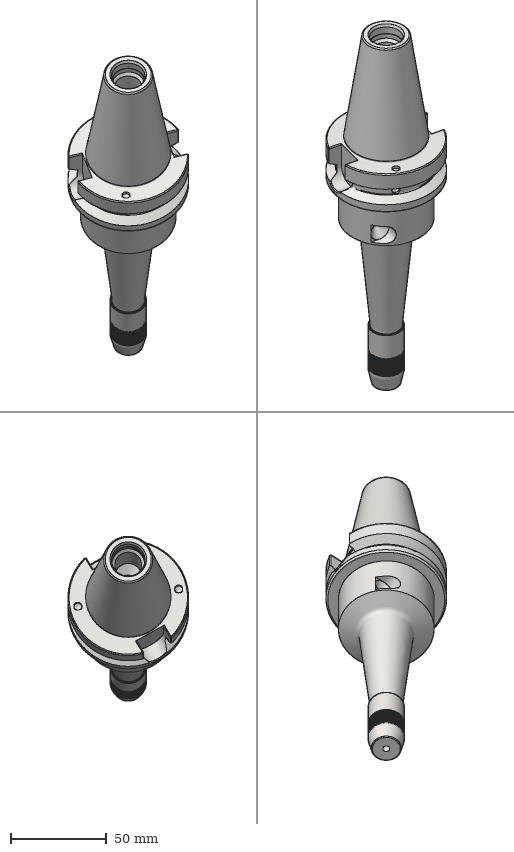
import cadquery as cq
import math

TAPER_RATIO = 7 / 24
GAUGE_DIAMETER = 44.45
TAPER_LENGTH = 65.4
TAPER_EDGE_CHAMFER = 0.7
NECK_DEPTH = 0.5
NECK_TOP_Z = -0.2
NECK_FILLET = 0.6

FLANGE_RADIUS = 31.5
FLANGE_TOP_Z = -2.0
FLANGE_BOTTOM_Z = -27.0
FLANGE_EDGE_CHAMFER = 1.0
FLANGE_TOP_CHAMFER = 0.6
GROOVE_CENTER_Z = -16.65
GROOVE_FLOOR_RADIUS = 26.45
GROOVE_FLOOR_WIDTH = 4.2
GROOVE_FILLET = 0.5
GROOVE_FLANK_ANGLE = math.radians(30)

BODY_RADIUS = 25.0
BODY_BOTTOM_Z = -53.0
SHANK_TOP_RADIUS = 14.4
SHANK_TOP_Z = -57.0
SHANK_TOP_FILLET = 3.2
SHANK_END_RADIUS = 8.6
SHANK_END_Z = -121.0
NOSE_RADIUS = 9.5
NOSE_TOP_Z = -122.4
NOSE_TOP_CHAMFER = 0.4
NOSE_TAPER_Z = -151.4
NOSE_END_RADIUS = 7.8
NOSE_END_Z = -160.0
NOSE_EDGE_CHAMFER = 0.5

RING_GROOVE_COUNT = 8
RING_GROOVE_FIRST_Z = -138.1
RING_GROOVE_PITCH = 1.45
RING_GROOVE_WIDTH = 1.1
RING_GROOVE_DEPTH = 0.6

MOUTH_CHAMFER_RADIUS = 9.5
MOUTH_CHAMFER_DEPTH = 1.5
MOUTH_RADIUS = 8.7
MOUTH_DEPTH = 5.7
MIDDLE_RADIUS = 8.5
MIDDLE_DEPTH = 8.6
INNER_RADIUS = 7.0
INNER_START_DEPTH = 10.1
INNER_DEPTH = 30.0
DRILL_POINT_ANGLE = math.radians(118)
THROUGH_HOLE_RADIUS = 1.8

SLOT_WIDTH = 16.1
SLOT_FLOOR_Y = 22.5
SLOT_BOTTOM_Z = -23.4
SLOT_EDGE_CHAMFER = 0.6

COOLANT_HOLE_RADIUS = 2.1
COOLANT_CIRCLE_RADIUS = 26.7
COOLANT_HOLE_ANGLES = (160, 340)
COOLANT_HOLE_DEPTH = 1.5

POCKET_POINT_ANGLE = math.radians(90)
POCKET_DIAMETER = 11.0
POCKET_FLOOR_X = -16.25
POCKET_Y = 13.6
POCKET_Z = -46.1


def taper_radius(z):
    """Radius of the steep taper at height z."""
    return (GAUGE_DIAMETER - TAPER_RATIO * z) / 2


def tapered_stem():
    """Steep taper with its bevelled small end, down to the neck above the flange."""
    neck_radius = taper_radius(NECK_TOP_Z) - NECK_DEPTH
    bevel_z = TAPER_LENGTH - TAPER_EDGE_CHAMFER
    profile = (
        cq.Workplane("XZ")
        .moveTo(0, TAPER_LENGTH)
        .lineTo(taper_radius(TAPER_LENGTH) - TAPER_EDGE_CHAMFER, TAPER_LENGTH)
        .lineTo(taper_radius(bevel_z), bevel_z)
        .lineTo(taper_radius(NECK_TOP_Z), NECK_TOP_Z)
        .lineTo(neck_radius, NECK_TOP_Z - NECK_DEPTH)
        .lineTo(neck_radius, FLANGE_TOP_Z + NECK_FILLET)
        .radiusArc((neck_radius + NECK_FILLET, FLANGE_TOP_Z), -NECK_FILLET)
        .lineTo(0, FLANGE_TOP_Z)
        .close()
    )
    return profile.revolve(360, (0, 0, 0), (0, 1, 0))


def groove_flank_height():
    """Rise of a groove flank from the floor to the flange rim."""
    return (FLANGE_RADIUS - GROOVE_FLOOR_RADIUS) * math.tan(GROOVE_FLANK_ANGLE)


def plain_flange():
    """Flange with its gripper groove, before the drive slots are cut."""
    flank_height = groove_flank_height()
    floor_top_z = GROOVE_CENTER_Z + GROOVE_FLOOR_WIDTH / 2
    floor_bottom_z = GROOVE_CENTER_Z - GROOVE_FLOOR_WIDTH / 2
    tangent = GROOVE_FILLET * math.tan((math.pi / 2 - GROOVE_FLANK_ANGLE) / 2)
    fillet_out = GROOVE_FLOOR_RADIUS + tangent * math.cos(GROOVE_FLANK_ANGLE)
    fillet_rise = tangent * math.sin(GROOVE_FLANK_ANGLE)
    profile = (
        cq.Workplane("XZ")
        .moveTo(0, FLANGE_TOP_Z)
        .lineTo(FLANGE_RADIUS - FLANGE_TOP_CHAMFER, FLANGE_TOP_Z)
        .lineTo(FLANGE_RADIUS, FLANGE_TOP_Z - FLANGE_TOP_CHAMFER)
        .lineTo(FLANGE_RADIUS, floor_top_z + flank_height)
        .lineTo(fillet_out, floor_top_z + fillet_rise)
        .radiusArc((GROOVE_FLOOR_RADIUS, floor_top_z - tangent), -GROOVE_FILLET)
        .lineTo(GROOVE_FLOOR_RADIUS, floor_bottom_z + tangent)
        .radiusArc((fillet_out, floor_bottom_z - fillet_rise), -GROOVE_FILLET)
        .lineTo(FLANGE_RADIUS, floor_bottom_z - flank_height)
        .lineTo(FLANGE_RADIUS, FLANGE_BOTTOM_Z + FLANGE_EDGE_CHAMFER)
        .lineTo(FLANGE_RADIUS - FLANGE_EDGE_CHAMFER, FLANGE_BOTTOM_Z)
        .lineTo(0, FLANGE_BOTTOM_Z)
        .close()
    )
    return profile.revolve(360, (0, 0, 0), (0, 1, 0))


def body_and_nose():
    """Body, shank and nose below the flange, without the ring grooves."""
    cone_angle = math.atan2(BODY_BOTTOM_Z - SHANK_TOP_Z, BODY_RADIUS - SHANK_TOP_RADIUS)
    shank_angle = math.atan2(SHANK_END_Z - SHANK_TOP_Z, SHANK_END_RADIUS - SHANK_TOP_RADIUS)
    turn = math.pi - (cone_angle - shank_angle)
    tangent = SHANK_TOP_FILLET * math.tan(turn / 2)
    fillet_start = (
        SHANK_TOP_RADIUS + tangent * math.cos(cone_angle),
        SHANK_TOP_Z + tangent * math.sin(cone_angle),
    )
    fillet_end = (
        SHANK_TOP_RADIUS + tangent * math.cos(shank_angle),
        SHANK_TOP_Z + tangent * math.sin(shank_angle),
    )
    profile = (
        cq.Workplane("XZ")
        .moveTo(0, FLANGE_BOTTOM_Z)
        .lineTo(BODY_RADIUS, FLANGE_BOTTOM_Z)
        .lineTo(BODY_RADIUS, BODY_BOTTOM_Z)
        .lineTo(*fillet_start)
        .radiusArc(fillet_end, -SHANK_TOP_FILLET)
        .lineTo(SHANK_END_RADIUS, SHANK_END_Z)
        .lineTo(SHANK_END_RADIUS, NOSE_TOP_Z)
        .lineTo(NOSE_RADIUS - NOSE_TOP_CHAMFER, NOSE_TOP_Z)
        .lineTo(NOSE_RADIUS, NOSE_TOP_Z - NOSE_TOP_CHAMFER)
        .lineTo(NOSE_RADIUS, NOSE_TAPER_Z)
        .lineTo(NOSE_END_RADIUS, NOSE_END_Z + NOSE_EDGE_CHAMFER)
        .lineTo(NOSE_END_RADIUS - NOSE_EDGE_CHAMFER, NOSE_END_Z)
        .lineTo(0, NOSE_END_Z)
        .close()
    )
    return profile.revolve(360, (0, 0, 0), (0, 1, 0))


def ring_grooves():
    """Rings that cut the grooves around the nose."""
    rings = cq.Workplane("XY")
    for i in range(RING_GROOVE_COUNT):
        ring = (
            cq.Workplane("XY", origin=(0, 0, RING_GROOVE_FIRST_Z - i * RING_GROOVE_PITCH))
            .circle(SHANK_TOP_RADIUS)
            .circle(NOSE_RADIUS - RING_GROOVE_DEPTH)
            .extrude(-RING_GROOVE_WIDTH)
        )
        rings = rings.add(ring)
    return rings.combine()


def bore():
    """Stepped bore from the small taper end, running into the through hole."""
    point_height = (INNER_RADIUS - THROUGH_HOLE_RADIUS) / math.tan(DRILL_POINT_ANGLE / 2)
    profile = (
        cq.Workplane("XZ")
        .moveTo(0, TAPER_LENGTH)
        .lineTo(MOUTH_CHAMFER_RADIUS, TAPER_LENGTH)
        .lineTo(MOUTH_RADIUS, TAPER_LENGTH - MOUTH_CHAMFER_DEPTH)
        .lineTo(MOUTH_RADIUS, TAPER_LENGTH - MOUTH_DEPTH)
        .lineTo(MIDDLE_RADIUS, TAPER_LENGTH - MOUTH_DEPTH)
        .lineTo(MIDDLE_RADIUS, TAPER_LENGTH - MIDDLE_DEPTH)
        .lineTo(INNER_RADIUS, TAPER_LENGTH - INNER_START_DEPTH)
        .lineTo(INNER_RADIUS, TAPER_LENGTH - INNER_DEPTH)
        .lineTo(THROUGH_HOLE_RADIUS, TAPER_LENGTH - INNER_DEPTH - point_height)
        .lineTo(THROUGH_HOLE_RADIUS, NOSE_END_Z)
        .lineTo(0, NOSE_END_Z)
        .close()
    )
    return profile.revolve(360, (0, 0, 0), (0, 1, 0))


def drive_slot():
    """Round-bottomed slot on the -Y side, before its edges are bevelled."""
    half_width = SLOT_WIDTH / 2
    arc_center_z = SLOT_BOTTOM_Z + half_width
    return (
        cq.Workplane("XZ", origin=(0, -SLOT_FLOOR_Y, 0))
        .moveTo(-half_width, FLANGE_TOP_Z)
        .lineTo(-half_width, arc_center_z)
        .threePointArc((0, SLOT_BOTTOM_Z), (half_width, arc_center_z))
        .lineTo(half_width, FLANGE_TOP_Z)
        .close()
        .extrude(FLANGE_RADIUS - SLOT_FLOOR_Y)
    )


def drilled_hole(start, direction, radius, depth, point_angle):
    """Blind hole from a start point along a direction, ending in a drill point."""
    point_depth = radius / math.tan(point_angle / 2)
    shaft = cq.Solid.makeCylinder(radius, depth, start, direction)
    point = cq.Solid.makeCone(radius, 0, point_depth, start + direction * depth, direction)
    return cq.Workplane(shaft).union(cq.Workplane(point))


def coolant_holes(angle):
    """Hole in the flange top and the hole in the groove floor below it."""
    outward = cq.Vector(math.cos(math.radians(angle)), math.sin(math.radians(angle)), 0)
    top_start = outward * COOLANT_CIRCLE_RADIUS + cq.Vector(0, 0, FLANGE_TOP_Z)
    groove_start = outward * GROOVE_FLOOR_RADIUS + cq.Vector(0, 0, GROOVE_CENTER_Z)
    size = (COOLANT_HOLE_RADIUS, COOLANT_HOLE_DEPTH, DRILL_POINT_ANGLE)
    top_hole = drilled_hole(top_start, cq.Vector(0, 0, -1), *size)
    return top_hole.union(drilled_hole(groove_start, -outward, *size))


def side_pocket():
    """Flat-floored pocket opening toward +Y, with a drill point below its round end."""
    radius = POCKET_DIAMETER / 2
    point_depth = radius / math.tan(POCKET_POINT_ANGLE / 2)
    plane = cq.Workplane("YZ", origin=(POCKET_FLOOR_X, POCKET_Y, POCKET_Z))
    depth = BODY_RADIUS + POCKET_FLOOR_X
    round_end = plane.circle(radius).extrude(-depth)
    open_side = plane.center(radius, 0).rect(POCKET_DIAMETER, POCKET_DIAMETER).extrude(-depth)
    point = cq.Solid.makeCone(
        radius, 0, point_depth, cq.Vector(POCKET_FLOOR_X, POCKET_Y, POCKET_Z), cq.Vector(1, 0, 0)
    )
    return round_end.union(open_side).union(point)


def slot_rim_edges(flange):
    """Slot edges on the flange top and on the two full-diameter rims, not those in the groove."""
    half_width = SLOT_WIDTH / 2
    flank_end = GROOVE_FLOOR_WIDTH / 2 + groove_flank_height()
    upper_rim_bottom_z = GROOVE_CENTER_Z + flank_end
    lower_rim_top_z = GROOVE_CENTER_Z - flank_end

    def is_slot_rim(edge):
        middle = edge.Center()
        across = abs(middle.x) < half_width + SLOT_EDGE_CHAMFER
        outside_floor = abs(middle.y) > SLOT_FLOOR_Y + SLOT_EDGE_CHAMFER
        on_upper_rim = middle.z > upper_rim_bottom_z
        on_lower_rim = SLOT_BOTTOM_Z - SLOT_EDGE_CHAMFER < middle.z < lower_rim_top_z
        return across and outside_floor and (on_upper_rim or on_lower_rim)

    return flange.edges().filter(is_slot_rim)


def slotted_flange():
    """Flange with both drive slots, their rim edges bevelled."""
    flange = plain_flange()
    for turn in (0, 180):
        flange = flange.cut(drive_slot().rotate((0, 0, 0), (0, 0, 1), turn))
    return slot_rim_edges(flange).chamfer(SLOT_EDGE_CHAMFER)


result = tapered_stem().union(slotted_flange()).union(body_and_nose())
result = result.cut(ring_grooves()).cut(bore())
for angle in COOLANT_HOLE_ANGLES:
    result = result.cut(coolant_holes(angle))
result = result.cut(side_pocket())